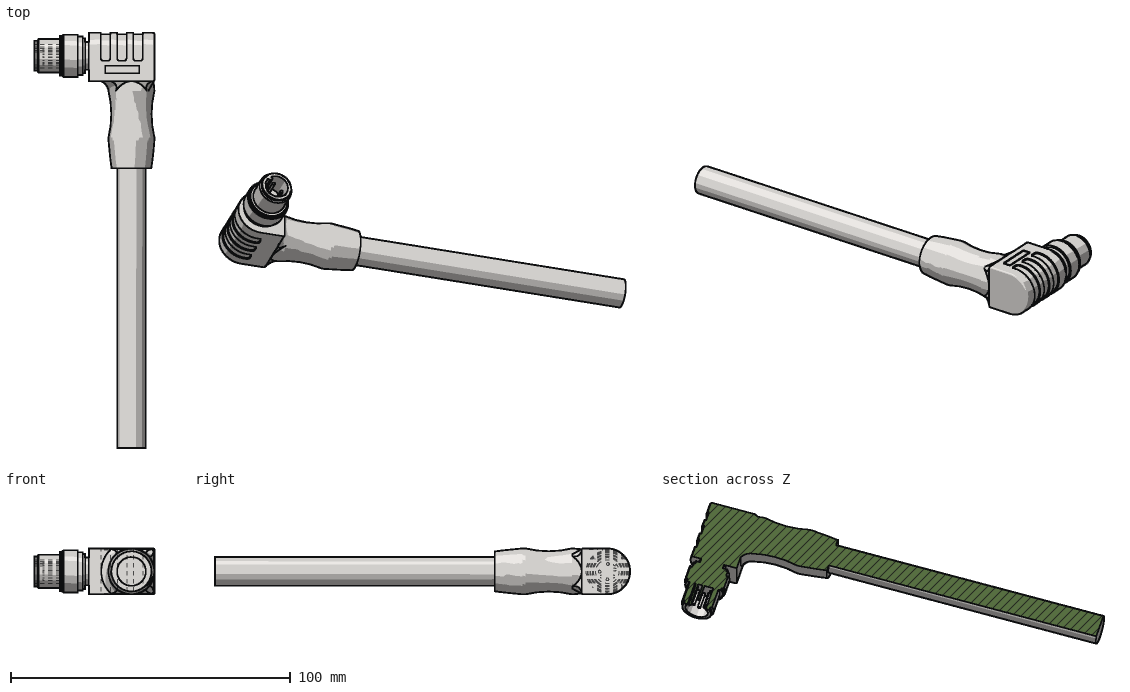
import cadquery as cq
import math


TOTAL_LENGTH_X = 42.9
TOTAL_LENGTH_Y = 148.45
BODY_HEIGHT = 16.5

BODY_RADIUS = BODY_HEIGHT / 2
BODY_START_X = 19.4
BODY_LENGTH = TOTAL_LENGTH_X - BODY_START_X
BODY_BOTTOM_Y = -9.1
BODY_EDGE_RADIUS = 0.6

GROOVE_COUNT = 3
GROOVE_FIRST_X = 25.4
GROOVE_PITCH = 5.8
GROOVE_WIDTH = 3.4
GROOVE_DEPTH = 0.5
GROOVE_END_Y = -1.8
GROOVE_CORNER = 1.0

LABEL_LENGTH = 12.2
LABEL_WIDTH = 2.8
LABEL_DEPTH = 0.3
LABEL_CENTER_X = 31.4
LABEL_CENTER_Y = -4.9

NOSE_RADIUS = 5.4
NOSE_LENGTH = 1.0
NOSE_TAPER_END_X = 1.45
BARREL_RADIUS = 6.0
FLANGE_RADIUS = 7.1
FLANGE_START_X = 9.0
FLANGE_END_X = 9.3
FLANGE_GROOVE_RADIUS = 6.9
RING_START_X = 10.0
RING_CHAMFER = 0.4
RING_RADIUS = 7.6
RING_END_X = 15.5
COLLAR_RADIUS = 6.9
COLLAR_END_X = 17.3
SHOULDER_RADIUS = 6.3
SHOULDER_END_X = 18.1
NECK_RADIUS = 5.0

BORE_RADIUS = 4.2
BORE_DEPTH = 9.0
PIN_RADIUS = 0.5
PIN_CIRCLE_RADIUS = 2.75
PIN_RECESS = 3.0
KEY_ANGLE = 129
KEY_WIDTH = 1.6
KEY_HEIGHT = 0.9
PIN_ANGLES_FROM_KEY = (-35, 35, 90, 141, 191, 231)

BOOT_RADIUS = BODY_RADIUS
CABLE_AXIS_X = TOTAL_LENGTH_X - BOOT_RADIUS
FLARE_RADIUS = 10.8
FLARE_MIDDLE_RADIUS = 9.0
FLARE_MIDDLE_Y = -10.6
FLARE_END_Y = -12.5
FLARE_FOOT_REACH = 7.95
FLARE_END_REACH = 6.1
BOOT_START_RADIUS = 7.95
WAIST_RADIUS = 7.25
WAIST_Y = -20.6
BULGE_START_Y = -29.2
BULGE_END_Y = -30.2
BOOT_END_RADIUS = 7.15
BOOT_END_Y = -40.2
BOOT_SIDE_BULGE = 0.1
CABLE_RADIUS = 5.15
CABLE_END_Y = BODY_RADIUS - TOTAL_LENGTH_Y

OVERLAP = 1.0


def rounded_block(radius, bottom_y, start_x, length):
    """Bar along X with a half-round +Y side and a flat -Y side."""
    return (
        cq.Workplane("YZ", origin=(start_x, 0, 0))
        .moveTo(bottom_y, -radius)
        .lineTo(0, -radius)
        .threePointArc((radius, 0), (0, radius))
        .lineTo(bottom_y, radius)
        .close()
        .extrude(length)
    )


def make_body():
    body = rounded_block(BODY_RADIUS, BODY_BOTTOM_Y, BODY_START_X, BODY_LENGTH)
    return body.edges("(>X) or (<Y and |X)").fillet(BODY_EDGE_RADIUS)


def make_groove(center_x):
    """Jacket as deep as the groove, trimmed to a slot with rounded ends."""
    start_x = center_x - GROOVE_WIDTH / 2
    jacket = rounded_block(BODY_RADIUS + OVERLAP, GROOVE_END_Y, start_x, GROOVE_WIDTH)
    core = rounded_block(BODY_RADIUS - GROOVE_DEPTH, GROOVE_END_Y, start_x, GROOVE_WIDTH)
    jacket = jacket.edges("<Y and |Z").fillet(GROOVE_CORNER)
    return jacket.cut(core)


def make_label_recess():
    return (
        cq.Workplane("XY", origin=(LABEL_CENTER_X, LABEL_CENTER_Y, BODY_RADIUS - LABEL_DEPTH))
        .rect(LABEL_LENGTH, LABEL_WIDTH)
        .extrude(LABEL_DEPTH + OVERLAP)
    )


def make_plug():
    profile = [
        (0, 0),
        (0, NOSE_RADIUS),
        (NOSE_LENGTH, NOSE_RADIUS),
        (NOSE_TAPER_END_X, BARREL_RADIUS),
        (FLANGE_START_X, BARREL_RADIUS),
        (FLANGE_START_X, FLANGE_RADIUS),
        (FLANGE_END_X, FLANGE_RADIUS),
        (FLANGE_END_X, FLANGE_GROOVE_RADIUS),
        (RING_START_X, FLANGE_GROOVE_RADIUS),
        (RING_START_X, RING_RADIUS - RING_CHAMFER),
        (RING_START_X + RING_CHAMFER, RING_RADIUS),
        (RING_END_X, RING_RADIUS),
        (RING_END_X, COLLAR_RADIUS),
        (COLLAR_END_X, COLLAR_RADIUS),
        (COLLAR_END_X, SHOULDER_RADIUS),
        (SHOULDER_END_X, SHOULDER_RADIUS),
        (SHOULDER_END_X, NECK_RADIUS),
        (BODY_START_X + OVERLAP, NECK_RADIUS),
        (BODY_START_X + OVERLAP, 0),
    ]
    plug = cq.Workplane("XY").polyline(profile).close().revolve(360, (0, 0, 0), (1, 0, 0))
    bore = cq.Workplane("YZ").circle(BORE_RADIUS).extrude(BORE_DEPTH)
    return plug.cut(bore)


def make_key():
    """Rib along the bore wall that codes the plug."""
    inner_radius = BORE_RADIUS - KEY_HEIGHT
    rib_height = KEY_HEIGHT + OVERLAP / 2
    rib = cq.Workplane("XY").box(BORE_DEPTH, KEY_WIDTH, rib_height, centered=(False, True, False))
    return rib.translate((0, 0, inner_radius)).rotate((0, 0, 0), (1, 0, 0), 90 - KEY_ANGLE)


def make_pin(angle):
    """Contact pin; the angle is counted from -Y towards +Z."""
    y = -PIN_CIRCLE_RADIUS * math.cos(math.radians(angle))
    z = PIN_CIRCLE_RADIUS * math.sin(math.radians(angle))
    return (
        cq.Workplane("YZ", origin=(PIN_RECESS, 0, 0))
        .center(y, z)
        .circle(PIN_RADIUS)
        .extrude(BORE_DEPTH + OVERLAP - PIN_RECESS)
    )


def make_flare():
    """Hollow-curved foot of the boot, trimmed by sloping sides."""
    foot_y = BODY_BOTTOM_Y + OVERLAP
    flare = (
        cq.Workplane("XY")
        .moveTo(0, foot_y)
        .lineTo(FLARE_RADIUS, foot_y)
        .lineTo(FLARE_RADIUS, BODY_BOTTOM_Y)
        .threePointArc((FLARE_MIDDLE_RADIUS, FLARE_MIDDLE_Y), (BOOT_RADIUS, FLARE_END_Y))
        .lineTo(0, FLARE_END_Y)
        .close()
        .revolve(360, (0, 0, 0), (0, 1, 0))
    )
    return flare.intersect(make_flare_limits()).translate((CABLE_AXIS_X, 0, 0))


def make_flare_limits():
    """Block whose top, bottom and +X sides slope in towards the end of the flare."""
    foot_y = BODY_BOTTOM_Y + OVERLAP
    outline = [
        (-FLARE_FOOT_REACH, foot_y),
        (FLARE_FOOT_REACH, foot_y),
        (FLARE_FOOT_REACH, BODY_BOTTOM_Y),
        (FLARE_END_REACH, FLARE_END_Y),
        (-FLARE_END_REACH, FLARE_END_Y),
        (-FLARE_FOOT_REACH, BODY_BOTTOM_Y),
    ]
    reach = 2 * FLARE_RADIUS
    height_limit = cq.Workplane("ZY").polyline(outline).close().extrude(reach, both=True)
    side_limit = cq.Workplane("XY").polyline(outline).close().extrude(reach, both=True)
    open_side = cq.Workplane("XY").box(reach, reach, reach).translate((-reach / 2, FLARE_END_Y, 0))
    return height_limit.intersect(side_limit.union(open_side))


def make_boot_and_cable():
    side_middle_radius = (BOOT_RADIUS + BOOT_END_RADIUS) / 2 + BOOT_SIDE_BULGE
    side_middle_y = (BULGE_END_Y + BOOT_END_Y) / 2
    start_y = BODY_BOTTOM_Y + OVERLAP
    boot = (
        cq.Workplane("XY")
        .moveTo(0, start_y)
        .lineTo(BOOT_START_RADIUS, start_y)
        .lineTo(BOOT_START_RADIUS, BODY_BOTTOM_Y)
        .lineTo(BOOT_RADIUS, FLARE_END_Y)
        .threePointArc((WAIST_RADIUS, WAIST_Y), (BOOT_RADIUS, BULGE_START_Y))
        .lineTo(BOOT_RADIUS, BULGE_END_Y)
        .threePointArc((side_middle_radius, side_middle_y), (BOOT_END_RADIUS, BOOT_END_Y))
        .lineTo(CABLE_RADIUS, BOOT_END_Y)
        .lineTo(CABLE_RADIUS, CABLE_END_Y)
        .lineTo(0, CABLE_END_Y)
        .close()
        .revolve(360, (0, 0, 0), (0, 1, 0))
    )
    return boot.translate((CABLE_AXIS_X, 0, 0))


body = make_body().cut(make_label_recess())
for groove_index in range(GROOVE_COUNT):
    body = body.cut(make_groove(GROOVE_FIRST_X + groove_index * GROOVE_PITCH))

plug = make_plug().union(make_key())
for angle_from_key in PIN_ANGLES_FROM_KEY:
    plug = plug.union(make_pin(KEY_ANGLE + angle_from_key))

result = body.union(plug).union(make_boot_and_cable()).union(make_flare())